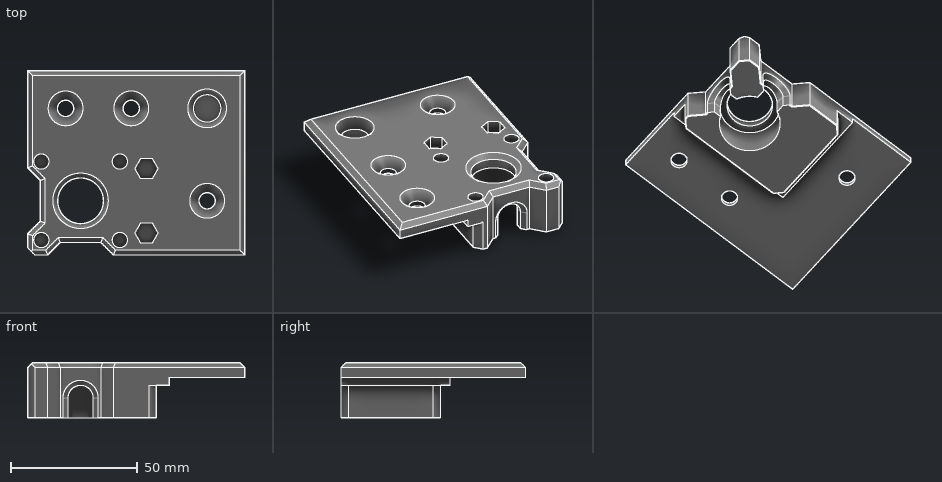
import cadquery as cq

length = 86.0
width = 73.0
height = 22.0

plate_thickness = 6.0
top_chamfer = 2.0
step_depth = 9.0
step_length = 56.1
step_width = 43.2
block_length = 51.0
block_width = 39.4
block_corner_cut = 3.0
foot_chamfer = 0.3

axis_x = 21.0
axis_y = 21.5
shaft_hole_diameter = 18.0
bore_diameter = 24.0

notch_depth = 5.0
notch_floor_half = 8.0
notch_mouth_half = notch_floor_half + notch_depth

arch_radius = 5.0
arch_chamfer = 2.0
arch_spring_height = 8.0

motor_screw_spacing = 31.05
motor_screw_diameter = 6.0
motor_screw_depth = plate_thickness

nut_x = 47.0
nut_spacing = 25.45
nut_across_corners = 9.2
nut_depth = 5.2

mount_left_x = 15.05
mount_middle_x = 41.0
mount_right_x = 71.0
mount_back_y = 58.05
mount_hole_diameter = 6.4
countersink_diameter = 13.8
countersink_depth = (countersink_diameter - mount_hole_diameter) / 2
seat_diameter = 15.3
seat_floor_diameter = 10.8
seat_depth = 4.5


def outline(x_max, y_max):
    """Rectangle from the origin with the two notches in its front and left sides."""
    return [
        (0, 0),
        (axis_x - notch_mouth_half, 0),
        (axis_x - notch_floor_half, notch_depth),
        (axis_x + notch_floor_half, notch_depth),
        (axis_x + notch_mouth_half, 0),
        (x_max, 0),
        (x_max, y_max),
        (0, y_max),
        (0, axis_y + notch_mouth_half),
        (notch_depth, axis_y + notch_floor_half),
        (notch_depth, axis_y - notch_floor_half),
        (0, axis_y - notch_mouth_half),
    ]


def slab(x_max, y_max, z_bottom, z_top):
    """Notched slab between two heights."""
    return (
        cq.Workplane("XY", origin=(0, 0, z_bottom))
        .polyline(outline(x_max, y_max))
        .close()
        .extrude(z_top - z_bottom)
    )


def corner_prism(x, y):
    """Full-height square prism turned 45 degrees that bevels a corner at (x, y)."""
    return (
        cq.Workplane("XY")
        .polyline(
            [
                (x - block_corner_cut, y),
                (x, y - block_corner_cut),
                (x + block_corner_cut, y),
                (x, y + block_corner_cut),
            ]
        )
        .close()
        .extrude(height)
    )


def cylinder(x, y, diameter, z_bottom, z_top):
    """Upright cylinder between two heights."""
    return cq.Workplane("XY", origin=(x, y, z_bottom)).circle(diameter / 2).extrude(z_top - z_bottom)


def cone(x, y, top_diameter, bottom_diameter, depth):
    """Conical cutter that opens at the top face."""
    solid = cq.Solid.makeCone(
        bottom_diameter / 2, top_diameter / 2, depth, pnt=cq.Vector(x, y, height - depth)
    )
    return cq.Workplane(solid)


def arch_profile(plane):
    """Round-headed opening that stands on the bottom face."""
    return (
        plane.moveTo(-arch_radius, 0)
        .lineTo(-arch_radius, arch_spring_height)
        .threePointArc((0, arch_spring_height + arch_radius), (arch_radius, arch_spring_height))
        .lineTo(arch_radius, 0)
        .close()
    )


def front_arch():
    """Opening through the front notch floor, with a bevelled outer edge."""
    plane = cq.Workplane("XZ", origin=(axis_x, notch_depth, 0))
    passage = arch_profile(plane).extrude(notch_depth - axis_y)
    jamb = (
        cq.Workplane("XY", origin=(axis_x, notch_depth, 0))
        .polyline(
            [
                (-arch_radius - arch_chamfer, 0),
                (arch_radius + arch_chamfer, 0),
                (arch_radius, arch_chamfer),
                (-arch_radius, arch_chamfer),
            ]
        )
        .close()
        .extrude(arch_spring_height)
    )
    head = cq.Workplane(
        cq.Solid.makeCone(
            arch_radius + arch_chamfer,
            arch_radius,
            arch_chamfer,
            pnt=cq.Vector(axis_x, notch_depth, arch_spring_height),
            dir=cq.Vector(0, 1, 0),
        )
    )
    return passage.union(jamb).union(head)


chamfer_base = height - top_chamfer
plate = slab(length, width, height - plate_thickness, height).faces(">Z").chamfer(top_chamfer)
step = slab(step_length, step_width, height - step_depth, chamfer_base)
block = slab(block_length, block_width, 0, chamfer_base)
for corner_x in (0, block_length):
    for corner_y in (0, block_width):
        block = block.cut(corner_prism(corner_x, corner_y))
block = block.faces("<Z").chamfer(foot_chamfer)
result = plate.union(step).cut(corner_prism(0, 0)).union(block)

result = result.cut(cylinder(axis_x, axis_y, shaft_hole_diameter, 0, height))
result = result.cut(
    cone(axis_x, axis_y, shaft_hole_diameter + 2 * top_chamfer, shaft_hole_diameter, top_chamfer)
)
result = result.cut(cylinder(axis_x, axis_y, bore_diameter, 0, height - plate_thickness))

arch = front_arch()
axis_base = (axis_x, axis_y, 0)
axis_top = (axis_x, axis_y, height)
left_arch = arch.rotate(axis_base, axis_top, -90).translate((axis_y - axis_x, 0, 0))
result = result.cut(arch).cut(left_arch)

for x_sign in (-1, 1):
    for y_sign in (-1, 1):
        screw_x = axis_x + x_sign * motor_screw_spacing / 2
        screw_y = axis_y + y_sign * motor_screw_spacing / 2
        pocket = cylinder(
            screw_x, screw_y, motor_screw_diameter, height - motor_screw_depth, height
        )
        result = result.cut(pocket)

for y_sign in (-1, 1):
    nut_y = axis_y + y_sign * nut_spacing / 2
    pocket = (
        cq.Workplane("XY", origin=(nut_x, nut_y, height))
        .polygon(6, nut_across_corners)
        .extrude(-nut_depth)
    )
    result = result.cut(pocket)

for mount_x, mount_y in [
    (mount_left_x, mount_back_y),
    (mount_middle_x, mount_back_y),
    (mount_right_x, axis_y),
]:
    result = result.cut(cylinder(mount_x, mount_y, mount_hole_diameter, 0, height))
    result = result.cut(
        cone(mount_x, mount_y, countersink_diameter, mount_hole_diameter, countersink_depth)
    )

result = result.cut(cone(mount_right_x, mount_back_y, seat_diameter, seat_floor_diameter, seat_depth))